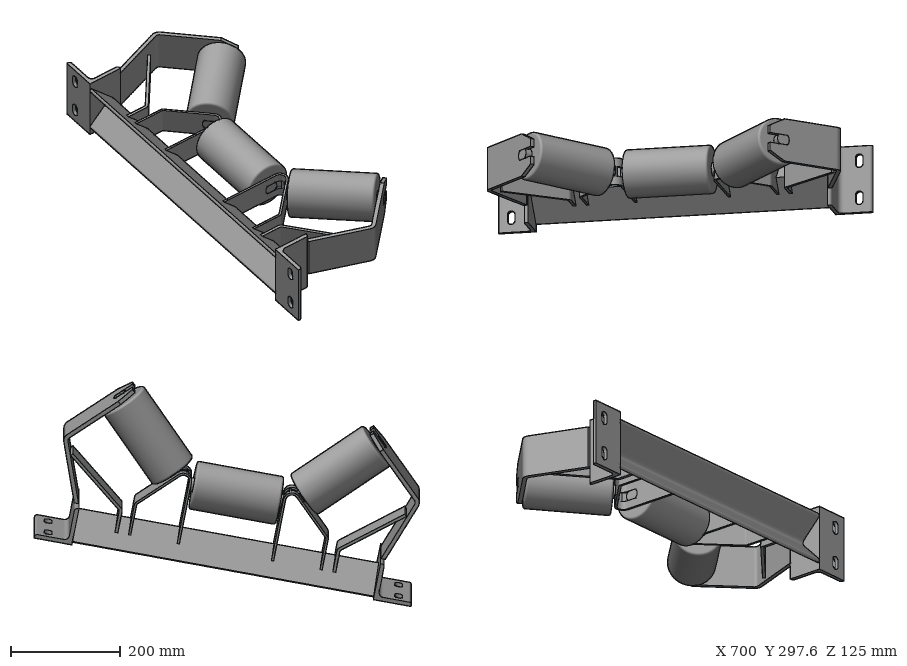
import cadquery as cq
import math

OVERALL_WIDTH = 700.0
ARM_TIP_Y = 297.5

FOOT_HEIGHT = 125.0
FOOT_LEG = 70.0
FOOT_THICKNESS = 8.0
FOOT_ROOT_RADIUS = 9.0
FOOT_SLOT_WIDTH = 14.0
FOOT_SLOT_LENGTH = 25.0
FOOT_SLOT_INSET = 24.5
FOOT_SLOT_SPACING = 70.0
TOE_RADIUS = 5.0

BEAM_LEG = 70.0
BEAM_THICKNESS = 7.0
BEAM_ROOT_RADIUS = 9.0
BEAM_APEX_Y = 52.5
BEAM_HALF_LENGTH = OVERALL_WIDTH / 2 - FOOT_LEG

ARM_THICKNESS = 8.0
ARM_HEIGHT = 80.0
ARM_MID_Z = 10.0
ARM_FOOT_X = -289.0
ARM_LEAN = math.radians(20)
ARM_BEND_Y = 189.0
ARM_BEND_RADIUS = 8.0
ARM_TIP_CUT_LENGTH = 31.5
ARM_TIP_CUT_HEIGHT = 16.0

SEATED_HEIGHT = 50.5
SUPPORT_THICKNESS = 4.0
SUPPORT_INNER_X = -85.5
SUPPORT_OUTER_X = -180.0
SUPPORT_CREST_Y = 183.5
SUPPORT_CREST_RADIUS = 11.0
SUPPORT_BEND_RADIUS = 4.0
STRUT_THICKNESS = 5.5
STRUT_X = -199.5
STRUT_BEND_Y = 72.0
STRUT_ANGLE = math.radians(39)
STRUT_SLOPE_LENGTH = 140.0
STRUT_BEND_RADIUS = 3.0

ROLLER_DIAMETER = 89.0
ROLLER_LENGTH = 160.0
ROLLER_EDGE_RADIUS = 4.0
SHAFT_DIAMETER = 25.0
SHAFT_FLATS = 18.0
FLAT_CLEARANCE = 1.0
CENTRE_ROLLER_Y = 135.0
CENTRE_ROLLER_Z = 0.0
WING_AXIS_SUM = 33.0
WING_TILT = math.radians(3)
SLOT_REACH = 63.0
DIAGONAL = math.sqrt(0.5)

ARM_BEND_X = ARM_FOOT_X - (ARM_BEND_Y - FOOT_LEG) * math.tan(ARM_LEAN)
ARM_TIP_X = ARM_BEND_X + ARM_TIP_Y - ARM_BEND_Y
ARM_PATH = [(ARM_FOOT_X, FOOT_LEG), (ARM_BEND_X, ARM_BEND_Y), (ARM_TIP_X, ARM_TIP_Y)]

ARM_FACE = ARM_BEND_Y - ARM_BEND_X - ARM_THICKNESS / DIAGONAL
SUPPORT_FACE = SUPPORT_CREST_Y - SUPPORT_INNER_X
WING_SPAN = (ARM_FACE - SUPPORT_FACE) * DIAGONAL
WING_MID_X = (WING_AXIS_SUM - (ARM_FACE + SUPPORT_FACE) / 2) / 2
WING_MID_Y = WING_AXIS_SUM - WING_MID_X
WING_MID_Z = ARM_MID_Z - WING_SPAN / 2 * math.tan(WING_TILT)
WING_GAP = (WING_SPAN / math.cos(WING_TILT) - ROLLER_LENGTH) / 2
CENTRE_GAP = -SUPPORT_INNER_X - ROLLER_LENGTH / 2


def mirrored(shape, side):
    """Return the left-hand shape itself for side -1, or its mirror image for side +1."""
    return shape if side < 0 else shape.mirror("YZ")


def offset_path(path, distance):
    """Offset a polyline to the right of its direction of travel, with mitred corners."""
    headings = [math.atan2(q[1] - p[1], q[0] - p[0]) for p, q in zip(path, path[1:])]
    arriving = headings[:1] + headings
    leaving = headings + headings[-1:]
    points = []
    for (x, y), before, after in zip(path, arriving, leaving):
        mitre = (before + after) / 2
        reach = distance / math.cos((after - before) / 2)
        points.append((x + reach * math.sin(mitre), y - reach * math.cos(mitre)))
    return points


def bent_plate(outer, inner, thickness, inner_radii, bottom, height):
    """Extrude the strip between two polylines and round each bend on both faces."""
    outline = cq.Workplane("XY").workplane(offset=bottom).polyline(outer + inner[::-1]).close()
    plate = outline.extrude(height)
    for outside, inside, radius in zip(outer[1:-1], inner[1:-1], inner_radii):
        for (x, y), bend in ((inside, radius), (outside, radius + thickness)):
            corner = cq.selectors.NearestToPointSelector((x, y, bottom + height / 2))
            plate = plate.edges("|Z").edges(corner).fillet(bend)
    return plate


def wing_plane(side):
    """Plane at the middle of a wing roller: normal along its axis inward, local X away from the beam."""
    level, drop = math.cos(WING_TILT) * DIAGONAL, math.sin(WING_TILT)
    return cq.Plane(
        origin=(-side * WING_MID_X, WING_MID_Y, WING_MID_Z),
        xDir=(-side * DIAGONAL, DIAGONAL, 0),
        normal=(-side * level, -level, -drop),
    )


def centre_plane():
    """Plane at the middle of the centre roller, with its normal along +X and local X along +Y."""
    return cq.Plane(origin=(0, CENTRE_ROLLER_Y, CENTRE_ROLLER_Z), xDir=(0, 1, 0), normal=(1, 0, 0))


def flatted_bar(plane, start, length, slot_reach=0.0):
    """Shaft-diameter bar with two flats; a slot reach extends it away from the beam as a slot cutter."""
    bar = cq.Workplane(plane).workplane(offset=start).circle(SHAFT_DIAMETER / 2).extrude(length)
    flats = cq.Workplane(plane).workplane(offset=start).rect(SHAFT_DIAMETER, SHAFT_FLATS).extrude(length)
    bar = bar.intersect(flats)
    if slot_reach:
        opening = cq.Workplane(plane).workplane(offset=start).center(slot_reach / 2, 0)
        bar = bar.union(opening.rect(slot_reach, SHAFT_FLATS).extrude(length))
    return bar


def make_shaft(plane, gap, start_plate, end_plate):
    """Round shaft whose flatted ends fill the plates at its two ends."""
    round_half = ROLLER_LENGTH / 2 + gap - FLAT_CLEARANCE
    end = cq.Workplane(plane).workplane(offset=-round_half)
    shaft = end.circle(SHAFT_DIAMETER / 2).extrude(2 * round_half)
    shaft = shaft.union(flatted_bar(plane, round_half, end_plate + FLAT_CLEARANCE))
    start_length = start_plate + FLAT_CLEARANCE
    return shaft.union(flatted_bar(plane, -round_half - start_length, start_length))


def make_roller(plane):
    """Roller with rounded end edges and a bore for its shaft."""
    end = cq.Workplane(plane).workplane(offset=-ROLLER_LENGTH / 2)
    roller = end.circle(ROLLER_DIAMETER / 2).extrude(ROLLER_LENGTH)
    roller = roller.edges().fillet(ROLLER_EDGE_RADIUS)
    return roller.cut(end.circle(SHAFT_DIAMETER / 2).extrude(ROLLER_LENGTH))


def angle_profile(plane, leg, thickness, root_radius):
    """Equal-angle outline with its outer corner at the plane origin and legs along local +X and +Y."""
    toe = leg - TOE_RADIUS
    inner_toe = thickness - TOE_RADIUS
    bend = thickness + root_radius
    return (
        cq.Workplane(plane)
        .lineTo(leg, 0)
        .lineTo(leg, inner_toe)
        .radiusArc((toe, thickness), -TOE_RADIUS)
        .lineTo(bend, thickness)
        .radiusArc((thickness, bend), root_radius)
        .lineTo(thickness, toe)
        .radiusArc((inner_toe, leg), -TOE_RADIUS)
        .lineTo(0, leg)
        .close()
    )


def make_foot():
    """Left mounting foot with two upright slots in its base leg."""
    corner = cq.Plane(
        origin=(-BEAM_HALF_LENGTH, 0, FOOT_HEIGHT / 2), xDir=(-1, 0, 0), normal=(0, 0, -1)
    )
    foot = angle_profile(corner, FOOT_LEG, FOOT_THICKNESS, FOOT_ROOT_RADIUS).extrude(FOOT_HEIGHT)
    slots = (
        cq.Workplane("XZ")
        .center(FOOT_SLOT_INSET - OVERALL_WIDTH / 2, 0)
        .rarray(7, FOOT_SLOT_SPACING, 1, 2)
        .slot2D(FOOT_SLOT_LENGTH, FOOT_SLOT_WIDTH, 90)
        .extrude(-FOOT_THICKNESS)
    )
    return foot.cut(slots)


def make_arm():
    """Left arm with tapered tip corners and an open slot for the wing shaft."""
    bottom = ARM_MID_Z - ARM_HEIGHT / 2
    inner = offset_path(ARM_PATH, ARM_THICKNESS)
    inner[0] = (ARM_FOOT_X + ARM_THICKNESS / math.cos(ARM_LEAN), FOOT_LEG)
    arm = bent_plate(ARM_PATH, inner, ARM_THICKNESS, [ARM_BEND_RADIUS], bottom, ARM_HEIGHT)
    tip_face = cq.Plane(
        origin=(ARM_TIP_X, ARM_TIP_Y, ARM_MID_Z),
        xDir=(DIAGONAL, DIAGONAL, 0),
        normal=(DIAGONAL, -DIAGONAL, 0),
    )
    for end in (-1, 1):
        edge = end * ARM_HEIGHT / 2
        corner = [(0, edge), (-ARM_TIP_CUT_LENGTH, edge), (0, edge - end * ARM_TIP_CUT_HEIGHT)]
        arm = arm.cut(cq.Workplane(tip_face).polyline(corner).close().extrude(ARM_THICKNESS))
    slot_start = -ROLLER_LENGTH / 2 - WING_GAP - 2 * ARM_THICKNESS
    return arm.cut(flatted_bar(wing_plane(-1), slot_start, 3 * ARM_THICKNESS, SLOT_REACH))


def make_side_bracket(side):
    """Foot and arm joined end to end as one bracket."""
    return mirrored(make_foot().union(make_arm()), side)


def make_beam_angle():
    """Angle bar between the feet."""
    apex = cq.Plane(
        origin=(-BEAM_HALF_LENGTH, BEAM_APEX_Y, 0), xDir=(0, -DIAGONAL, DIAGONAL), normal=(1, 0, 0)
    )
    return angle_profile(apex, BEAM_LEG, BEAM_THICKNESS, BEAM_ROOT_RADIUS).extrude(2 * BEAM_HALF_LENGTH)


def beam_seat():
    """Wedge behind the outer faces of the beam, used to notch the plates that sit on it."""
    depth = BEAM_LEG / DIAGONAL
    wedge = [(BEAM_APEX_Y, 0), (BEAM_APEX_Y - depth, depth), (BEAM_APEX_Y - depth, -depth)]
    return cq.Workplane("YZ").polyline(wedge).close().extrude(BEAM_HALF_LENGTH, both=True)


def make_support():
    """Left support: an upright leg, a rounded crest and a sloping leg, slotted for two shafts."""
    bend_y = SUPPORT_CREST_Y + SUPPORT_OUTER_X - SUPPORT_INNER_X
    path = [
        (SUPPORT_OUTER_X, 0),
        (SUPPORT_OUTER_X, bend_y),
        (SUPPORT_INNER_X, SUPPORT_CREST_Y),
        (SUPPORT_INNER_X, 0),
    ]
    inner = offset_path(path, SUPPORT_THICKNESS)
    radii = [SUPPORT_BEND_RADIUS, SUPPORT_CREST_RADIUS]
    support = bent_plate(path, inner, SUPPORT_THICKNESS, radii, -SEATED_HEIGHT / 2, SEATED_HEIGHT)
    slot_depth = 3 * SUPPORT_THICKNESS
    wing_start = ROLLER_LENGTH / 2 + WING_GAP - SUPPORT_THICKNESS
    support = support.cut(flatted_bar(wing_plane(-1), wing_start, slot_depth, SLOT_REACH))
    centre_start = SUPPORT_INNER_X + SUPPORT_THICKNESS - slot_depth
    return support.cut(flatted_bar(centre_plane(), centre_start, slot_depth, SLOT_REACH))


def make_strut():
    """Left strut: an upright leg, then a sloping leg whose square-cut end reaches the arm."""
    end_x = STRUT_X - STRUT_SLOPE_LENGTH * math.cos(STRUT_ANGLE)
    end_y = STRUT_BEND_Y + STRUT_SLOPE_LENGTH * math.sin(STRUT_ANGLE)
    path = [(end_x, end_y), (STRUT_X, STRUT_BEND_Y), (STRUT_X, 0)]
    inner = offset_path(path, STRUT_THICKNESS)
    return bent_plate(path, inner, STRUT_THICKNESS, [STRUT_BEND_RADIUS], -SEATED_HEIGHT / 2, SEATED_HEIGHT)


def make_beam():
    """Cross beam with its welded supports and struts on both sides."""
    beam = make_beam_angle()
    plates = make_support().union(make_strut()).cut(beam_seat())
    for side in (-1, 1):
        beam = beam.union(mirrored(plates, side))
    return beam


beam = make_beam()
side_brackets = [make_side_bracket(side) for side in (-1, 1)]
roller_planes = [wing_plane(-1), centre_plane(), wing_plane(1)]
rollers = [make_roller(plane) for plane in roller_planes]
shafts = [make_shaft(centre_plane(), CENTRE_GAP, SUPPORT_THICKNESS, SUPPORT_THICKNESS)]
for side in (-1, 1):
    shafts.append(make_shaft(wing_plane(side), WING_GAP, ARM_THICKNESS, SUPPORT_THICKNESS))

bodies = [beam, *side_brackets, *rollers, *shafts]
result = cq.Compound.makeCompound([body.solids().val() for body in bodies])